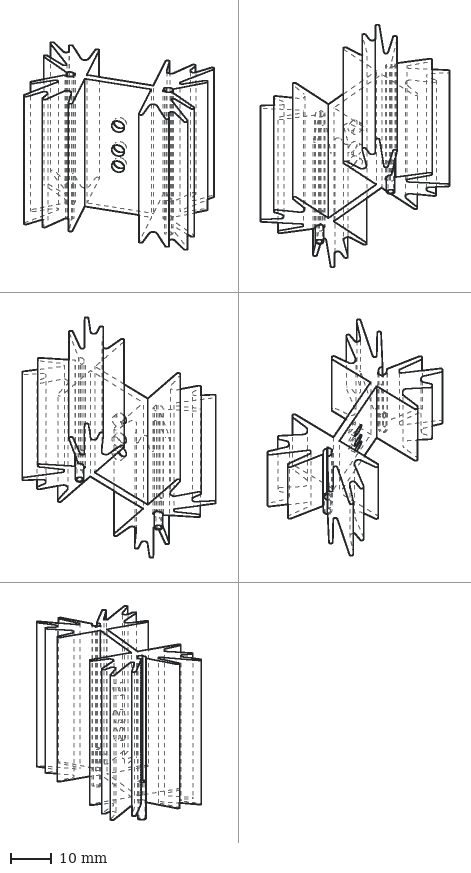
import cadquery as cq
import math


total_height = 42.6
sink_width = 42.0
sink_depth = 25.0
pin_projection = 4.5
sink_height = total_height - pin_projection

web_thickness = 1.8
plate_inner_x = 8.5
mount_hole_diameter = 3.2
mount_hole_heights = [13.45, 18.25, 25.4]

tip_radius = 0.5
tip_limit_x = sink_width / 2 - tip_radius
tip_limit_y = sink_depth / 2 - tip_radius
straight_tip = (plate_inner_x + tip_radius, tip_limit_y, tip_radius)
wide_valley = (11.05, 8.15, 1.05)
middle_tip = (15.7, tip_limit_y, tip_radius)
outer_valley = (16.35, 9.85, 0.8)
corner_tip = (tip_limit_x, tip_limit_y, tip_radius)
narrow_valley = (15.1, 3.88, 0.5)
side_tip = (tip_limit_x, 6.0, tip_radius)
fin_circles = [
    straight_tip, wide_valley, middle_tip, outer_valley, corner_tip, narrow_valley, side_tip,
]

pin_spacing = 25.4
pin_positions = [-pin_spacing / 2, pin_spacing / 2]
pin_diameter = 2.1
pin_bore = 1.4
pin_insertion = 5.32
pin_edge_fillet = 0.15
slot_length = 2.45
slot_width = 1.35
slot_mouth_offset = 1.05


def toward(circle, angle):
    """Point of a circle in the direction of an angle."""
    x, y, radius = circle
    return (x + radius * math.cos(angle), y + radius * math.sin(angle))


def flank_angle(first, second, first_is_tip):
    """Direction from the first circle to the flank that crosses between two circles."""
    across_x = second[0] - first[0]
    across_y = second[1] - first[1]
    distance = math.hypot(across_x, across_y)
    lean = math.acos((first[2] + second[2]) / distance)
    side = 1 if first_is_tip else -1
    return math.atan2(across_y, across_x) + side * lean


def tangent_angle_from_point(circle, point):
    """Direction from a circle to the lower tangent that ends at a point left of it."""
    across_x = point[0] - circle[0]
    across_y = point[1] - circle[1]
    lean = math.acos(circle[2] / math.hypot(across_x, across_y))
    return math.atan2(across_y, across_x) + lean


def arc_middle(circle, start, end, is_tip):
    """Angle halfway along an arc: clockwise over a tip, counterclockwise in a valley."""
    full_turn = 2 * math.pi
    if is_tip:
        return start - ((start - end) % full_turn) / 2
    return start + ((end - start) % full_turn) / 2


def make_fin_quadrant():
    """Fins of the +X +Y quadrant, down to the X axis."""
    mouth_corner = (pin_spacing / 2 + slot_mouth_offset, slot_width / 2)
    outline = cq.Workplane("XY").moveTo(plate_inner_x, 0).lineTo(plate_inner_x, tip_limit_y)
    start = math.pi
    for index, circle in enumerate(fin_circles):
        is_tip = index % 2 == 0
        is_last = circle is side_tip
        if is_last:
            end = tangent_angle_from_point(circle, mouth_corner)
        else:
            following = fin_circles[index + 1]
            end = flank_angle(circle, following, is_tip)
        middle = arc_middle(circle, start, end, is_tip)
        outline = outline.threePointArc(toward(circle, middle), toward(circle, end))
        if not is_last:
            start = end + math.pi
            outline = outline.lineTo(*toward(following, start))
    outline = outline.lineTo(*mouth_corner).lineTo(mouth_corner[0], 0).close()
    return outline.extrude(sink_height)


def make_pin_socket():
    """Round socket with a slot across it, open to the gap between the side fins."""
    bore = cq.Workplane("XY").circle(pin_diameter / 2).extrude(sink_height)
    slot = cq.Workplane("XY").rect(slot_length, slot_width).extrude(sink_height)
    return bore.union(slot)


def make_heat_sink():
    web = cq.Workplane("XY").rect(2 * plate_inner_x, web_thickness).extrude(sink_height)
    upper_fins = make_fin_quadrant()
    right_fins = upper_fins.union(upper_fins.mirror("XZ"))
    sink = web.union(right_fins).union(right_fins.mirror("YZ"))
    for pin_x in pin_positions:
        sink = sink.cut(make_pin_socket().translate((pin_x, 0, 0)))
    mount_holes = (
        cq.Workplane("XZ")
        .pushPoints([(0, height) for height in mount_hole_heights])
        .circle(mount_hole_diameter / 2)
        .extrude(web_thickness, both=True)
    )
    return sink.cut(mount_holes)


def make_pin(pin_x):
    """Hollow pin with lightly rounded outer edges."""
    return (
        cq.Workplane("XY", origin=(pin_x, 0, -pin_projection))
        .circle(pin_diameter / 2)
        .extrude(pin_projection + pin_insertion)
        .edges()
        .fillet(pin_edge_fillet)
        .faces(">Z")
        .workplane()
        .hole(pin_bore)
    )


heat_sink = make_heat_sink()
pins = [make_pin(pin_x) for pin_x in pin_positions]

result = cq.Compound.makeCompound([heat_sink.val(), *[pin.val() for pin in pins]])